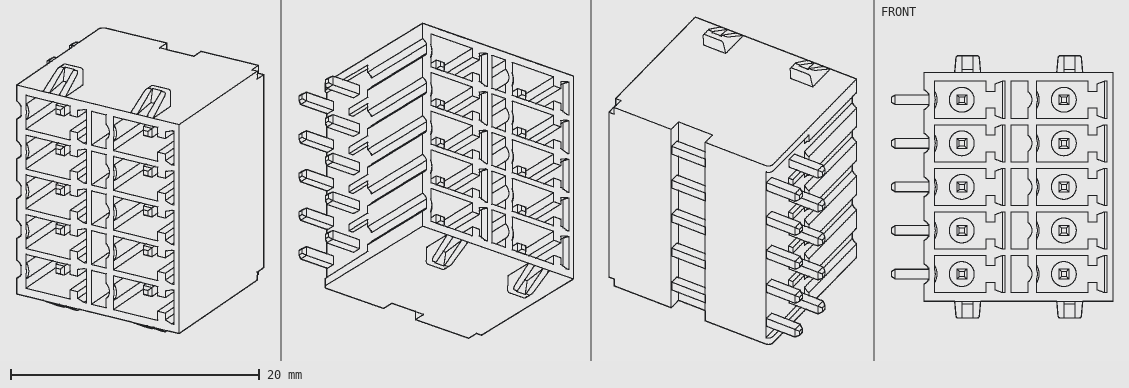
import cadquery as cq
import math


body_width = 15.2
body_depth = 13.3
body_height = 18.4
corner_radius = 0.45

row_count = 5
row_pitch = 3.5
column_pitch = 8.2
row_levels = [(row - (row_count - 1) / 2) * row_pitch for row in range(row_count)]
column_offsets = [0, column_pitch]

pin_size = 0.8
pin_tip_size = 0.42
pin_taper = 0.3
pin_x = 3.05
pin_front_y = 1.4
pin_left_x = -2.6
last_tail_inset = 0.48
tail_pitch = 3.5

cavity_left = 0.86
cavity_half_height = 1.49
cavity_depth = 8.3
neck_left = 5.0
neck_right = 5.72
neck_half_height = 0.68
key_half_height = 1.27
key_inner_right = 6.31
key_outer_right = 6.52
key_chamfer_depth = 0.5
bulge_half_height = 0.7
bulge_rise = 0.2
bulge_chamfer = 0.14
boss_radius = 1.0
boss_height = 0.5

guide_length = 7.34
recess_depth = 0.4
groove_half_height = 0.8
groove_floor_half_height = 0.4
groove_radius = 0.88
recess_margin_front = 0.76
recess_margin_back = 0.66
rib_thickness = 0.57
rib_end_y = 9.81

pocket_left = 7.0
pocket_right = 8.36
pocket_arc_half_height = 0.66
pocket_arc_rise = 0.33

back_notch_left = 6.12
back_notch_right = 9.32
back_notch_depth = 1.12
corner_notch_width = 0.5
corner_notch_depth = 1.04
corner_notch_height = 0.7

first_latch_x = 3.52
latch_centers = [first_latch_x + offset for offset in column_offsets]
latch_height = 1.35
latch_base_width = 2.1
latch_crest_width = 1.9
latch_crest_y = 2.3
latch_tip_y = 2.96
latch_heel_y = 2.72
latch_edge_radius = 0.22
latch_root = 0.3
channel_width = 0.88
channel_rise = 0.22
channel_floor_end_y = 2.15
channel_top_end_y = 2.42


def box(x_min, x_max, y_min, y_max, z_min, z_max):
    """Axis-aligned block between the given limits."""
    corner = (x_min, y_min, z_min)
    return cq.Workplane("XY").box(x_max - x_min, y_max - y_min, z_max - z_min, centered=False).translate(corner)


def front_sketch(y, x, z):
    """Plane with local axes X and Z; a negative extrusion runs toward +Y."""
    return cq.Workplane("XZ", origin=(x, y, z))


def make_housing():
    """Solid block with a rounded rear left edge and notches along the back."""
    top = body_height / 2
    housing = box(0, body_width, 0, body_depth, -top, top)
    housing = housing.edges("|Z and <X and >Y").fillet(corner_radius)
    notch_front = body_depth - back_notch_depth
    housing = housing.cut(box(back_notch_left, back_notch_right, notch_front, body_depth, -top, top))
    corner_left = body_width - corner_notch_width
    corner_front = body_depth - corner_notch_depth
    for z_min in (-top, top - corner_notch_height):
        z_max = z_min + corner_notch_height
        housing = housing.cut(box(corner_left, body_width, corner_front, body_depth, z_min, z_max))
    return housing


def make_side_recess():
    """Shallow recess behind the guide grooves, leaving a rib between each pair of rows."""
    front_z = body_height / 2 - recess_margin_front
    back_z = body_height / 2 - recess_margin_back
    recess = (
        cq.Workplane("YZ")
        .polyline([(guide_length, -front_z), (guide_length, front_z), (body_depth, back_z), (body_depth, -back_z)])
        .close()
        .extrude(recess_depth)
    )
    for level in row_levels[:-1]:
        rib_z = level + row_pitch / 2
        half = rib_thickness / 2
        recess = recess.cut(box(0, recess_depth, guide_length, rib_end_y, rib_z - half, rib_z + half))
    return recess


def make_guide_groove(z):
    """Flat-bottomed groove with concave arc flanks, cut into the left wall."""
    arc_center_x = -math.sqrt(groove_radius**2 - groove_half_height**2)
    start_angle = math.asin(groove_half_height / groove_radius)
    end_angle = math.asin(groove_floor_half_height / groove_radius)
    middle_angle = (start_angle + end_angle) / 2
    flank_x = arc_center_x + groove_radius * math.cos(middle_angle)
    flank_z = groove_radius * math.sin(middle_angle)
    return (
        front_sketch(0, 0, z)
        .moveTo(0, groove_half_height)
        .threePointArc((flank_x, flank_z), (recess_depth, groove_floor_half_height))
        .lineTo(recess_depth, -groove_floor_half_height)
        .threePointArc((flank_x, -flank_z), (0, -groove_half_height))
        .close()
        .extrude(-guide_length)
    )


def make_cavity(x, z):
    """Keyed cavity: chamber with a bulge on its left wall, neck, flared key slot and floor boss."""
    profile = (
        front_sketch(0, x, z)
        .moveTo(cavity_left, -cavity_half_height)
        .lineTo(neck_left, -cavity_half_height)
        .lineTo(neck_left, -neck_half_height)
        .lineTo(neck_right, -neck_half_height)
        .lineTo(neck_right, -key_half_height)
        .lineTo(key_inner_right, -cavity_half_height)
        .lineTo(key_inner_right, cavity_half_height)
        .lineTo(neck_right, key_half_height)
        .lineTo(neck_right, neck_half_height)
        .lineTo(neck_left, neck_half_height)
        .lineTo(neck_left, cavity_half_height)
        .lineTo(cavity_left, cavity_half_height)
        .close()
    )
    cavity = profile.extrude(-cavity_depth)
    lead_in = (
        cq.Workplane("XY", origin=(x, 0, z - cavity_half_height))
        .polyline([(key_inner_right, 0), (key_outer_right, 0), (key_inner_right, key_chamfer_depth)])
        .close()
        .extrude(2 * cavity_half_height)
    )
    boss = front_sketch(cavity_depth, x + pin_x, z).circle(boss_radius).extrude(boss_height)
    bulge_radius = (bulge_half_height**2 + bulge_rise**2) / (2 * bulge_rise)
    bulge_center_x = x + cavity_left + bulge_rise - bulge_radius
    bulge = front_sketch(0, bulge_center_x, z).circle(bulge_radius).extrude(-cavity_depth)
    bulge = bulge.faces("<Y").chamfer(bulge_chamfer)
    return cavity.union(lead_in).cut(boss).cut(bulge)


def make_coding_pocket(z):
    """Rectangular pocket between the columns with an arc groove in its right wall."""
    return (
        front_sketch(0, 0, z)
        .moveTo(pocket_left, -cavity_half_height)
        .lineTo(pocket_right, -cavity_half_height)
        .lineTo(pocket_right, -pocket_arc_half_height)
        .threePointArc((pocket_right + pocket_arc_rise, 0), (pocket_right, pocket_arc_half_height))
        .lineTo(pocket_right, cavity_half_height)
        .lineTo(pocket_left, cavity_half_height)
        .close()
        .extrude(-guide_length)
    )


def make_pin_tip(plane):
    """Square pyramid stub growing along the normal of the plane."""
    return plane.rect(pin_size, pin_size).workplane(offset=pin_taper).rect(pin_tip_size, pin_tip_size).loft()


def make_pin(x, tail_y, z):
    """Right-angle square pin: contact toward -Y, solder tail toward -X, both with tapered tips."""
    half = pin_size / 2
    shank_front = pin_front_y + pin_taper
    shank_left = pin_left_x + pin_taper
    contact = box(x - half, x + half, shank_front, tail_y + half, z - half, z + half)
    tail = box(shank_left, x + half, tail_y - half, tail_y + half, z - half, z + half)
    contact_tip = make_pin_tip(front_sketch(shank_front, x, z))
    tail_plane = cq.Plane(origin=(shank_left, tail_y, z), xDir=(0, 1, 0), normal=(-1, 0, 0))
    tail_tip = make_pin_tip(cq.Workplane(tail_plane))
    return contact.union(tail).union(contact_tip).union(tail_tip)


def make_latch(x):
    """Ramped snap latch on the top face, with tapered flanks, rounded crest edges and front channel."""
    base_half = latch_base_width / 2
    crest_half = latch_crest_width / 2
    round_z = latch_height - latch_edge_radius
    flat_half = crest_half - latch_edge_radius
    arc_reach = latch_edge_radius * math.sqrt(0.5)
    arc_x = flat_half + arc_reach
    arc_z = round_z + arc_reach
    side = (
        cq.Workplane("YZ")
        .polyline([
            (0, -latch_root),
            (0, 0),
            (latch_crest_y, latch_height),
            (latch_tip_y, latch_height),
            (latch_heel_y, 0),
            (latch_heel_y, -latch_root),
        ])
        .close()
        .extrude(base_half, both=True)
    )
    elevation = (
        front_sketch(0, 0, 0)
        .moveTo(-base_half, -latch_root)
        .lineTo(base_half, -latch_root)
        .lineTo(base_half, 0)
        .lineTo(crest_half, round_z)
        .threePointArc((arc_x, arc_z), (flat_half, latch_height))
        .lineTo(-flat_half, latch_height)
        .threePointArc((-arc_x, arc_z), (-crest_half, round_z))
        .lineTo(-base_half, 0)
        .close()
        .extrude(-latch_tip_y)
    )
    channel = (
        cq.Workplane("YZ")
        .polyline([
            (0, 0),
            (channel_floor_end_y, channel_rise),
            (channel_top_end_y, latch_height),
            (0, latch_height),
        ])
        .close()
        .extrude(channel_width / 2, both=True)
    )
    latch = side.intersect(elevation).cut(channel)
    return latch.translate((x, 0, body_height / 2))


result = make_housing().cut(make_side_recess())

for level in row_levels:
    result = result.cut(make_guide_groove(level))
    result = result.cut(make_coding_pocket(level))
    for offset in column_offsets:
        result = result.cut(make_cavity(offset, level))

for level in row_levels:
    for column, offset in enumerate(column_offsets):
        columns_behind = len(column_offsets) - 1 - column
        tail_y = body_depth - last_tail_inset - columns_behind * tail_pitch
        result = result.union(make_pin(pin_x + offset, tail_y, level))

for center in latch_centers:
    upper_latch = make_latch(center)
    result = result.union(upper_latch).union(upper_latch.mirror("XY"))